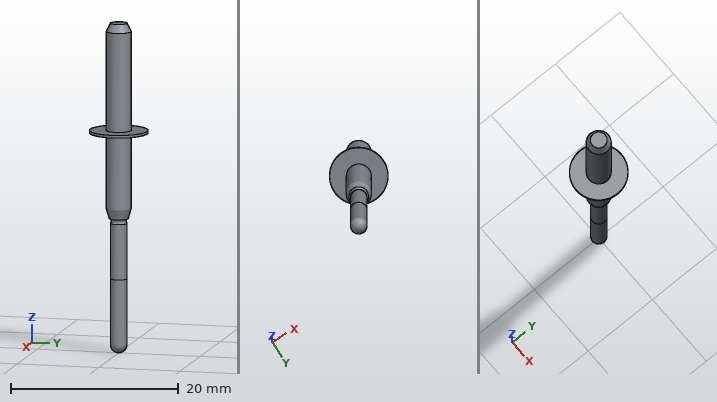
import cadquery as cq

total_height = 40.0
joint_z = 9.0
neck_bottom_z = 15.7
neck_height = 0.6
taper_height = 1.2

shank_radius = 1.5
taper_end_radius = 1.15
top_radius = 1.0
top_bevel_height = 1.0

collar_radius = 3.5
collar_top_z = 27.0
collar_thickness = 0.3

pin_radius = 1.0
neck_radius = 0.9


def make_shank():
    """Shank with a bevelled top and thin collar, tapering through a concave neck to a slender stem."""
    neck_top_z = neck_bottom_z + neck_height
    neck_middle_z = neck_bottom_z + neck_height / 2
    shank = (
        cq.Workplane("XZ")
        .moveTo(0, joint_z)
        .lineTo(pin_radius, joint_z)
        .lineTo(pin_radius, neck_bottom_z)
        .threePointArc((neck_radius, neck_middle_z), (taper_end_radius, neck_top_z))
        .lineTo(shank_radius, neck_top_z + taper_height)
        .lineTo(shank_radius, total_height - top_bevel_height)
        .lineTo(top_radius, total_height)
        .lineTo(0, total_height)
        .close()
        .revolve(360, (0, 0), (0, 1))
    )
    collar = (
        cq.Workplane("XY", origin=(0, 0, collar_top_z - collar_thickness))
        .circle(collar_radius)
        .extrude(collar_thickness)
    )
    return shank.union(collar)


def make_tip():
    """Cylindrical tip with a hemispherical end, flush with the shank's stem."""
    return (
        cq.Workplane("XZ")
        .moveTo(0, 0)
        .radiusArc((pin_radius, pin_radius), -pin_radius)
        .lineTo(pin_radius, joint_z)
        .lineTo(0, joint_z)
        .close()
        .revolve(360, (0, 0), (0, 1))
    )


shank = make_shank()
tip = make_tip()

result = cq.Compound.makeCompound([shank.val(), tip.val()])